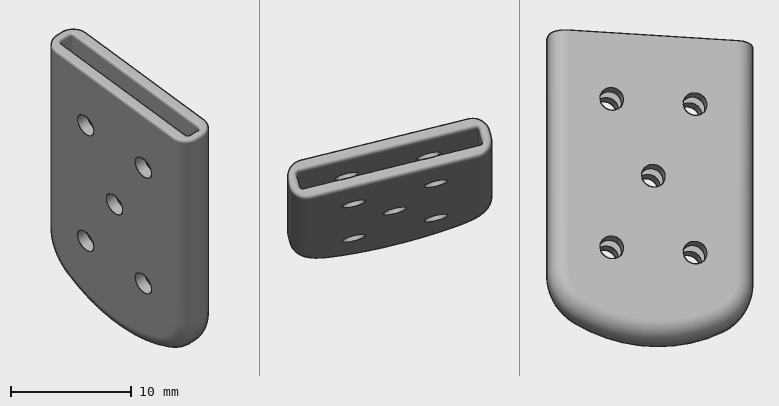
import cadquery as cq
import math

width = 17.23
thickness = 3.45
height = 26.75
side_end_z = 5.7
bow_radius = 12.73
edge_radius = 1.47
rim_radius = 0.3

side_wall = 0.83
cavity_thickness = 1.4
cavity_edge_radius = 0.25

hole_diameter = 1.98
hole_center_z = 14.25
hole_offset_x = 3.5
hole_offset_z = 6.55

half_width = width / 2
bow_rise = bow_radius - side_end_z
corner_radius = (bow_radius**2 - half_width**2 - bow_rise**2) / (2 * (bow_radius - half_width))
corner_center_x = half_width - corner_radius
bow_half_angle = math.atan2(corner_center_x, bow_rise)


def corner_point(radius, angle):
    """Point on the right-hand corner arc, with the angle measured from straight down."""
    return (
        corner_center_x + radius * math.sin(angle),
        side_end_z - radius * math.cos(angle),
    )


def mirrored(point):
    return (-point[0], point[1])


def make_body():
    bow_end = corner_point(corner_radius, bow_half_angle)
    corner_middle = corner_point(corner_radius, (bow_half_angle + math.pi / 2) / 2)
    body = (
        cq.Workplane("XZ")
        .moveTo(-half_width, height)
        .lineTo(-half_width, side_end_z)
        .threePointArc(mirrored(corner_middle), mirrored(bow_end))
        .threePointArc((0, 0), bow_end)
        .threePointArc(corner_middle, (half_width, side_end_z))
        .lineTo(half_width, height)
        .close()
        .extrude(thickness / 2, both=True)
    )
    face_outlines = body.faces("|Y").edges("not >Z")
    return face_outlines.fillet(edge_radius)


def make_cavity():
    """Flat-floored pocket whose corner arcs share centers with the outer corners."""
    half_cavity = half_width - side_wall
    floor_radius = half_cavity - corner_center_x
    floor_z = side_end_z - floor_radius
    arc_middle = corner_point(floor_radius, math.pi / 4)
    cavity = (
        cq.Workplane("XZ")
        .moveTo(-half_cavity, height)
        .lineTo(-half_cavity, side_end_z)
        .threePointArc(mirrored(arc_middle), (-corner_center_x, floor_z))
        .lineTo(corner_center_x, floor_z)
        .threePointArc(arc_middle, (half_cavity, side_end_z))
        .lineTo(half_cavity, height)
        .close()
        .extrude(cavity_thickness / 2, both=True)
    )
    return cavity.faces("|Y").edges("not >Z").fillet(cavity_edge_radius)


def make_holes():
    centers = [(0, hole_center_z)]
    for x_side in (-1, 1):
        for z_side in (-1, 1):
            centers.append((x_side * hole_offset_x, hole_center_z + z_side * hole_offset_z))
    return (
        cq.Workplane("XZ")
        .pushPoints(centers)
        .circle(hole_diameter / 2)
        .extrude(thickness, both=True)
    )


sleeve = make_body().cut(make_cavity())
sleeve = sleeve.faces(">Z").edges().fillet(rim_radius)
result = sleeve.cut(make_holes())